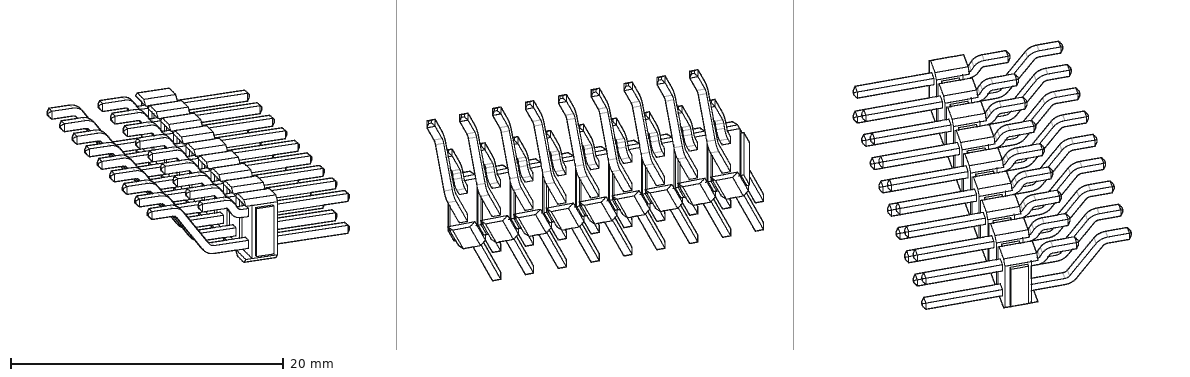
import cadquery as cq
import math

unit_count = 9
row_length = 22.85
pitch = row_length / unit_count
total_depth = 15.85

housing_width = 2.1
housing_height = 5.0
block_depth = 2.01
flange_depth = 2.51
flange_thickness = 0.4

pad_depth = 1.35
pad_height = 3.82
pad_setback = 0.4

pin_size = 0.65
pin_back_reach = 6.01
tip_length = 0.2
tip_inset = 0.2
upper_bend_angle = 59.0
upper_bend_radius = 0.6
lower_bend_angle = 54.5
lower_bend_radius = 0.75
upper_flat = 2.01
lower_flat = 1.85
front_tip_offset = 4.0

back_tip_y = total_depth / 2
housing_back_y = back_tip_y - pin_back_reach
lower_front_tip_y = -total_depth / 2
upper_front_tip_y = lower_front_tip_y + front_tip_offset
pin_offset_z = pitch / 2
raised_z = housing_height / 2 - pin_size / 2


def box_from_back(width, depth, height, back_y):
    """Box centered on X and Z that runs from back_y toward -Y."""
    return cq.Workplane("XY").box(width, depth, height).translate((0, back_y - depth / 2, 0))


def make_housing():
    """Bevelled block with overhanging flanges and a pad on each side."""
    body = box_from_back(housing_width, flange_depth, housing_height, housing_back_y)
    body = body.edges("|Y").chamfer(flange_thickness)
    overhang = flange_depth - block_depth
    recess_height = housing_height - 2 * flange_thickness
    recess = box_from_back(housing_width, overhang, recess_height, housing_back_y - block_depth)
    pads = box_from_back(pitch, pad_depth, pad_height, housing_back_y - pad_setback)
    return body.cut(recess).union(pads)


def make_tip(base_y, z, direction):
    """Pyramid frustum on a pin end, pointing along Y in the given direction."""
    plane = cq.Plane(origin=(0, base_y, z), xDir=(1, 0, 0), normal=(0, direction, 0))
    end_size = pin_size - 2 * tip_inset
    base = cq.Workplane(plane).rect(pin_size, pin_size)
    return base.workplane(offset=tip_length).rect(end_size, end_size).loft(ruled=True)


def make_pin(start_z, front_tip_y, flat_length, bend_angle, bend_radius):
    """Pin that runs forward at start_z and bends up to raised_z in an S shape."""
    angle = math.radians(bend_angle)
    half_angle = angle / 2
    bend_run = bend_radius * math.sin(angle)
    bend_rise = bend_radius * (1 - math.cos(angle))
    mid_run = bend_radius * math.sin(half_angle)
    mid_rise = bend_radius * (1 - math.cos(half_angle))
    slope_rise = raised_z - start_z - 2 * bend_rise
    slope_run = slope_rise / math.tan(angle)

    back_y = back_tip_y - tip_length
    front_y = front_tip_y + tip_length
    flat_y = front_tip_y + flat_length
    slope_top_y = flat_y + bend_run
    slope_bottom_y = slope_top_y + slope_run
    bend_start_y = slope_bottom_y + bend_run

    center_line = (
        cq.Workplane("YZ")
        .moveTo(back_y, start_z)
        .lineTo(bend_start_y, start_z)
        .threePointArc(
            (bend_start_y - mid_run, start_z + mid_rise),
            (slope_bottom_y, start_z + bend_rise),
        )
        .lineTo(slope_top_y, raised_z - bend_rise)
        .threePointArc((flat_y + mid_run, raised_z - mid_rise), (flat_y, raised_z))
        .lineTo(front_y, raised_z)
    )
    section_plane = cq.Plane(origin=(0, back_y, start_z), xDir=(1, 0, 0), normal=(0, -1, 0))
    shaft = cq.Workplane(section_plane).rect(pin_size, pin_size).sweep(center_line)
    return shaft.union(make_tip(back_y, start_z, 1)).union(make_tip(front_y, raised_z, -1))


def make_unit():
    """One solid: a housing with its upper and lower pin."""
    upper_pin = make_pin(pin_offset_z, upper_front_tip_y, upper_flat, upper_bend_angle, upper_bend_radius)
    lower_pin = make_pin(-pin_offset_z, lower_front_tip_y, lower_flat, lower_bend_angle, lower_bend_radius)
    return make_housing().union(upper_pin).union(lower_pin)


unit = make_unit()
units = []
for index in range(unit_count):
    unit_x = (index - (unit_count - 1) / 2) * pitch
    units.append(unit.translate((unit_x, 0, 0)).solids().val())

result = cq.Compound.makeCompound(units)